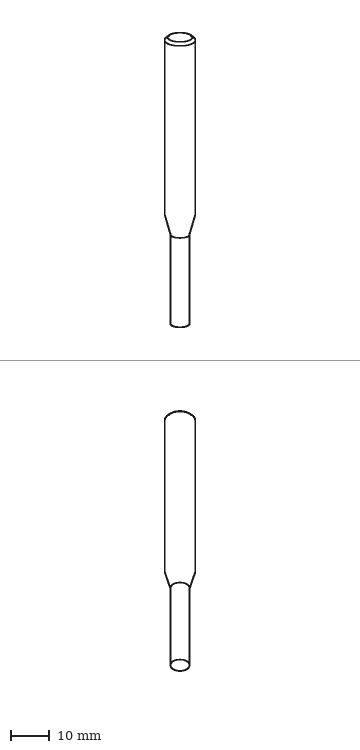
import cadquery as cq

total_length = 80.0
shank_diameter = 8.0
cutter_diameter = 5.0
cutter_length = 25.0
taper_length = 5.6
end_chamfer = 0.8

shank_radius = shank_diameter / 2
cutter_radius = cutter_diameter / 2
taper_top = cutter_length + taper_length


def make_cutter():
    """Plain cylindrical cutter that ends where the taper begins."""
    return cq.Workplane("XY").circle(cutter_radius).extrude(cutter_length)


def make_shank():
    """Chamfered cylindrical shank that tapers down to the cutter diameter."""
    half_profile = (
        cq.Workplane("XZ")
        .moveTo(0, cutter_length)
        .lineTo(cutter_radius, cutter_length)
        .lineTo(shank_radius, taper_top)
        .lineTo(shank_radius, total_length - end_chamfer)
        .lineTo(shank_radius - end_chamfer, total_length)
        .lineTo(0, total_length)
        .close()
    )
    return half_profile.revolve(360, (0, 0, 0), (0, 1, 0))


cutter = make_cutter()
shank = make_shank()

result = cq.Compound.makeCompound([cutter.val(), shank.val()])